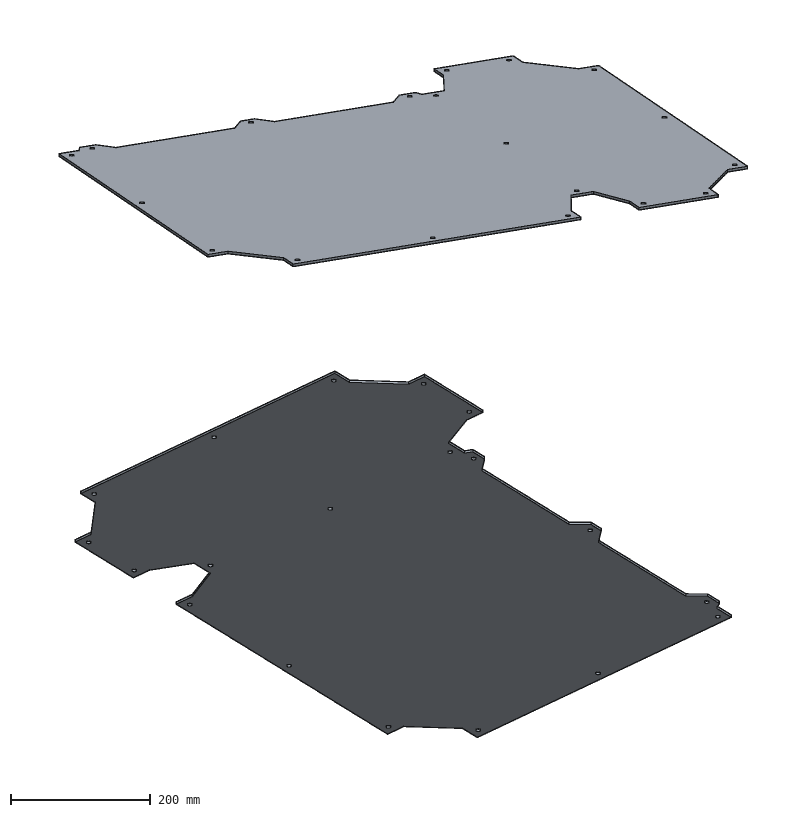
import cadquery as cq

WIDTH = 665.0
LENGTH = 860.0
THICKNESS = 4.0
TOP = LENGTH / 2
BOTTOM = -TOP
EAR_X = WIDTH / 2

NECK_X = 242.0
SLOPE_OUTER_X = 302.0
CORNER_DEPTH = 32.0
PANEL_INSET = 91.0
EAR_LOWER_Y = TOP - 218.0
WAIST_UPPER_Y = TOP - 246.0
WAIST_LOWER_Y = TOP - 281.0
PANEL_UPPER_Y = TOP - 310.5
PANEL_LOWER_Y = BOTTOM + PANEL_INSET

TAB_X = -253.0
RECESS_X = -230.0
TAB_HALF_FLAT = 11.0
TAB_HALF_BASE = 32.0
END_TAB_HALF_FLAT = 15.0
TAB_PITCH = 253.0
UPPER_TAB_Y = TOP - 301.0
MIDDLE_TAB_Y = UPPER_TAB_Y - TAB_PITCH
LOWER_TAB_Y = MIDDLE_TAB_Y - TAB_PITCH

HOLE_DIAMETER = 6.6
HOLE_INSET = 14.0
WAIST_HOLE_Y = TOP - 266.0


def right_edge():
    """Points down the right side, from the top corner to the bottom corner."""
    return [
        (NECK_X, TOP),
        (NECK_X, TOP - CORNER_DEPTH),
        (SLOPE_OUTER_X, TOP - PANEL_INSET),
        (EAR_X, TOP - PANEL_INSET),
        (EAR_X, EAR_LOWER_Y),
        (SLOPE_OUTER_X, EAR_LOWER_Y),
        (NECK_X, WAIST_UPPER_Y),
        (NECK_X, WAIST_LOWER_Y),
        (SLOPE_OUTER_X, PANEL_UPPER_Y),
        (EAR_X, PANEL_UPPER_Y),
        (EAR_X, PANEL_LOWER_Y),
        (SLOPE_OUTER_X, PANEL_LOWER_Y),
        (NECK_X, BOTTOM + CORNER_DEPTH),
        (NECK_X, BOTTOM),
    ]


def left_edge():
    """Points up the left side, from the bottom corner to the top corner."""
    lower_tab = [
        (-NECK_X, BOTTOM),
        (-NECK_X, BOTTOM + CORNER_DEPTH),
        (TAB_X, LOWER_TAB_Y - END_TAB_HALF_FLAT),
        (TAB_X, LOWER_TAB_Y + TAB_HALF_FLAT),
        (RECESS_X, LOWER_TAB_Y + TAB_HALF_BASE),
    ]
    middle_tab = [
        (RECESS_X, MIDDLE_TAB_Y - TAB_HALF_BASE),
        (TAB_X, MIDDLE_TAB_Y - TAB_HALF_FLAT),
        (TAB_X, MIDDLE_TAB_Y + TAB_HALF_FLAT),
        (RECESS_X, MIDDLE_TAB_Y + TAB_HALF_BASE),
    ]
    upper_tab = [
        (RECESS_X, UPPER_TAB_Y - TAB_HALF_BASE),
        (TAB_X, UPPER_TAB_Y - TAB_HALF_FLAT),
        (TAB_X, UPPER_TAB_Y + END_TAB_HALF_FLAT),
        (-NECK_X, WAIST_LOWER_Y),
    ]
    ear = [(-x, y) for x, y in reversed(right_edge()) if y >= WAIST_UPPER_Y]
    return lower_tab + middle_tab + upper_tab + ear


def hole_centres():
    """Centres of all screw holes."""
    row_x = NECK_X - HOLE_INSET
    row_ys = (TOP - HOLE_INSET, WAIST_HOLE_Y, BOTTOM + HOLE_INSET)
    rows = [(x, y) for y in row_ys for x in (-row_x, 0, row_x)]

    side_x = EAR_X - HOLE_INSET
    ear_ys = (TOP - PANEL_INSET - HOLE_INSET, EAR_LOWER_Y + HOLE_INSET)
    ears = [(x, y) for y in ear_ys for x in (-side_x, side_x)]

    panel_top = PANEL_UPPER_Y - HOLE_INSET
    panel_bottom = PANEL_LOWER_Y + HOLE_INSET
    panel_ys = (panel_top, (panel_top + panel_bottom) / 2, panel_bottom)
    panel = [(side_x, y) for y in panel_ys]

    tabs = [(-NECK_X, y) for y in (UPPER_TAB_Y, MIDDLE_TAB_Y, LOWER_TAB_Y)]
    return rows + ears + panel + tabs


plate = cq.Workplane("XY").polyline(right_edge() + left_edge()).close().extrude(THICKNESS)
holes = cq.Workplane("XY").pushPoints(hole_centres()).circle(HOLE_DIAMETER / 2).extrude(THICKNESS)
result = plate.cut(holes)